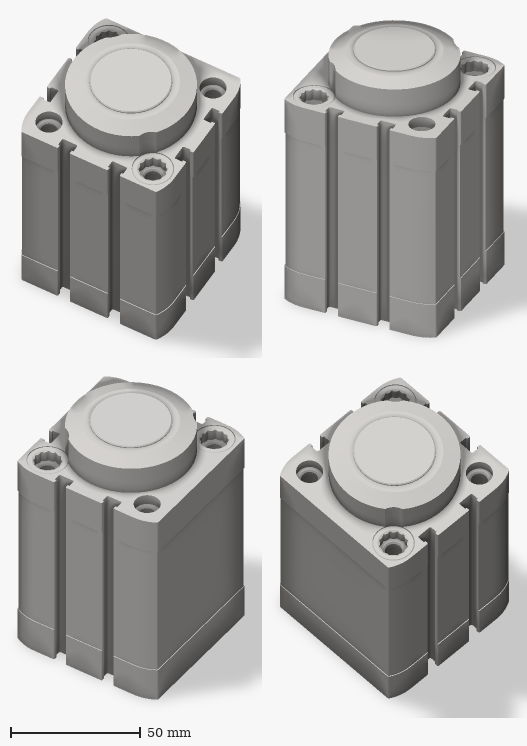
import cadquery as cq
import math

BODY_SIDE = 65.5
HALF_SIDE = BODY_SIDE / 2
BODY_HEIGHT = 90.6
CAP_HEIGHT = 15.0
BARREL_INSET = 0.3
CORNER_ARC_RADIUS = 18.0
CORNER_BLEND_RADIUS = 0.8

HOLE_OFFSET = 23.2
HOLE_DIAMETER = 6.7
COUNTERSINK_DIAMETER = 8.0

COLLAR_DIAMETER = 51.1
COLLAR_TOP_DIAMETER = 38.0
COLLAR_BEVEL_START = 102.9
COLLAR_TOP = 105.2

ROD_DIAMETER = 32.0
ROD_TOP = 106.0
ROD_CHAMFER = 0.4
ROD_SOCKET_FLOOR = BODY_HEIGHT - CAP_HEIGHT

SLOT_OFFSET = 11.1
SLOT_MOUTH_WIDTH = 5.3
SLOT_INNER_WIDTH = 6.8
SLOT_LIP = 1.6
SLOT_DEPTH = 5.0
SLOT_CORNER_RADIUS = 0.5
SLOT_MOUTH_RADIUS = 0.4
SLOT_FACES = (-90, 0, 180)

PLAIN_CORNERS = ((-1, -1), (1, 1))
COUNTERBORE_DIAMETER = 10.5
COUNTERBORE_DEPTH = 4.5

SCREW_CORNERS = ((-1, 1), (1, -1))
HEAD_DIAMETER = 16.4
HEAD_CHAMFER = 0.4
SOCKET_MOUTH_DIAMETER = 12.3
SOCKET_ACROSS_FLATS = 10.0
HEX_HALF_STEP = 30
SOCKET_ACROSS_POINTS = SOCKET_ACROSS_FLATS / math.cos(math.radians(HEX_HALF_STEP))
SOCKET_BORE_DIAMETER = 10.5
SOCKET_DEPTH = 5.0
SOCKET_MOUTH_SLOPE = 30


def corner_place(corner):
    """Centre of the mounting hole in the corner given by the signs of X and Y."""
    return corner[0] * HOLE_OFFSET, corner[1] * HOLE_OFFSET


def frustum(bottom_diameter, top_diameter, bottom, top):
    """Upright cone frustum on the Z axis between two heights."""
    height = top - bottom
    return cq.Workplane(obj=cq.Solid.makeCone(
        bottom_diameter / 2, top_diameter / 2, height, pnt=cq.Vector(0, 0, bottom)))


def cylinder(diameter, bottom, top):
    """Upright cylinder on the Z axis between two heights."""
    return cq.Workplane().workplane(offset=bottom).circle(diameter / 2).extrude(top - bottom)


def body_block(bottom, height, inset=0.0):
    """Square block whose four corners curve in from the X faces to the Y faces.

    A positive inset moves every side face inwards by that amount.
    """
    arc_start = HOLE_OFFSET
    full_angle = math.asin((HALF_SIDE - arc_start) / CORNER_ARC_RADIUS)
    arc_centre = HALF_SIDE - CORNER_ARC_RADIUS

    def arc_point(angle):
        x = arc_centre + CORNER_ARC_RADIUS * math.cos(angle)
        y = arc_start + CORNER_ARC_RADIUS * math.sin(angle)
        return x, y

    mid_x, mid_y = arc_point(full_angle / 2)
    end_x, end_y = arc_point(full_angle)
    block = (
        cq.Workplane()
        .moveTo(HALF_SIDE, -arc_start)
        .lineTo(HALF_SIDE, arc_start)
        .threePointArc((mid_x, mid_y), (end_x, end_y))
        .lineTo(-end_x, end_y)
        .threePointArc((-mid_x, mid_y), (-HALF_SIDE, arc_start))
        .lineTo(-HALF_SIDE, -arc_start)
        .threePointArc((-mid_x, -mid_y), (-end_x, -end_y))
        .lineTo(end_x, -end_y)
        .threePointArc((mid_x, -mid_y), (HALF_SIDE, -arc_start))
        .close()
        .extrude(height)
        .edges("|Z and (>Y or <Y)")
        .fillet(CORNER_BLEND_RADIUS)
    )
    if inset:
        outline = block.faces("<Z").wires().val().offset2D(-inset)[0]
        block = cq.Workplane(obj=cq.Solid.extrudeLinear(outline, [], cq.Vector(0, 0, height)))
    return block.translate((0, 0, bottom))


def collar():
    """Round collar with a bevelled rim, notched beside the two screw heads."""
    shape = cylinder(COLLAR_DIAMETER, BODY_HEIGHT, COLLAR_BEVEL_START)
    shape = shape.union(frustum(COLLAR_DIAMETER, COLLAR_TOP_DIAMETER, COLLAR_BEVEL_START, COLLAR_TOP))
    for corner in SCREW_CORNERS:
        x, y = corner_place(corner)
        shape = shape.cut(cylinder(HEAD_DIAMETER, BODY_HEIGHT, COLLAR_TOP).translate((x, y, 0)))
    return shape


def slot_cutter():
    """T-slot running the full height of the +X face, centred on Y = 0, with a rounded mouth."""
    floor_x = HALF_SIDE - SLOT_DEPTH
    lip_x = HALF_SIDE - SLOT_LIP
    round_x = HALF_SIDE - SLOT_MOUTH_RADIUS
    half_mouth = SLOT_MOUTH_WIDTH / 2
    half_inner = SLOT_INNER_WIDTH / 2
    half_flare = half_mouth + SLOT_MOUTH_RADIUS
    arc_x = round_x + SLOT_MOUTH_RADIUS * math.cos(math.pi / 4)
    arc_y = half_flare - SLOT_MOUTH_RADIUS * math.sin(math.pi / 4)
    return (
        cq.Workplane()
        .moveTo(HALF_SIDE, -half_flare)
        .threePointArc((arc_x, -arc_y), (round_x, -half_mouth))
        .lineTo(lip_x, -half_mouth)
        .lineTo(lip_x, -half_inner)
        .lineTo(floor_x, -half_inner)
        .lineTo(floor_x, half_inner)
        .lineTo(lip_x, half_inner)
        .lineTo(lip_x, half_mouth)
        .lineTo(round_x, half_mouth)
        .threePointArc((arc_x, arc_y), (HALF_SIDE, half_flare))
        .close()
        .extrude(BODY_HEIGHT)
        .edges("|Z and <X")
        .fillet(SLOT_CORNER_RADIUS)
    )


def countersunk_hole(floor):
    """Through hole with a 45 degree countersink starting at the given height."""
    sink_depth = (COUNTERSINK_DIAMETER - HOLE_DIAMETER) / 2
    hole = cylinder(HOLE_DIAMETER, 0, floor)
    return hole.union(frustum(HOLE_DIAMETER, COUNTERSINK_DIAMETER, floor - sink_depth, floor))


def plain_corner_cutter():
    """Counterbore and countersunk through hole."""
    floor = BODY_HEIGHT - COUNTERBORE_DEPTH
    bore = cylinder(COUNTERBORE_DIAMETER, floor, BODY_HEIGHT)
    return bore.union(countersunk_hole(floor))


def screw_corner_cutter():
    """Groove round the screw head, twelve-point socket and countersunk through hole."""
    groove_floor = BODY_HEIGHT - HEAD_CHAMFER
    groove = cylinder(HEAD_DIAMETER, groove_floor, BODY_HEIGHT).cut(
        frustum(HEAD_DIAMETER, HEAD_DIAMETER - 2 * HEAD_CHAMFER, groove_floor, BODY_HEIGHT))

    floor = BODY_HEIGHT - SOCKET_DEPTH
    hexagon = cq.Workplane().workplane(offset=floor).polygon(6, SOCKET_ACROSS_POINTS).extrude(SOCKET_DEPTH)
    socket = hexagon.union(hexagon.rotate((0, 0, 0), (0, 0, 1), HEX_HALF_STEP))
    socket = socket.union(cylinder(SOCKET_BORE_DIAMETER, floor, BODY_HEIGHT))
    mouth_width = (SOCKET_MOUTH_DIAMETER - SOCKET_ACROSS_FLATS) / 2
    mouth_depth = mouth_width * math.tan(math.radians(SOCKET_MOUTH_SLOPE))
    mouth = frustum(SOCKET_ACROSS_FLATS, SOCKET_MOUTH_DIAMETER, BODY_HEIGHT - mouth_depth, BODY_HEIGHT)
    hole = countersunk_hole(floor)
    return groove.union(socket).union(mouth).union(hole)


def make_rod():
    """Piston rod with a chamfered tip."""
    return cylinder(ROD_DIAMETER, ROD_SOCKET_FLOOR, ROD_TOP).faces(">Z").chamfer(ROD_CHAMFER)


def make_housing():
    """Caps, barrel and collar in one piece, with the slots, holes and rod socket cut in."""
    upper_cap_bottom = BODY_HEIGHT - CAP_HEIGHT
    shape = body_block(0, CAP_HEIGHT)
    shape = shape.union(body_block(CAP_HEIGHT, upper_cap_bottom - CAP_HEIGHT, BARREL_INSET))
    shape = shape.union(body_block(upper_cap_bottom, CAP_HEIGHT))
    shape = shape.union(collar())

    for turn in SLOT_FACES:
        for side in (-1, 1):
            slot = slot_cutter().translate((0, side * SLOT_OFFSET, 0))
            shape = shape.cut(slot.rotate((0, 0, 0), (0, 0, 1), turn))

    for corner in PLAIN_CORNERS:
        x, y = corner_place(corner)
        shape = shape.cut(plain_corner_cutter().translate((x, y, 0)))
    for corner in SCREW_CORNERS:
        x, y = corner_place(corner)
        shape = shape.cut(screw_corner_cutter().translate((x, y, 0)))

    return shape.cut(cylinder(ROD_DIAMETER, ROD_SOCKET_FLOOR, COLLAR_TOP))


housing = make_housing()
rod = make_rod()
result = cq.Compound.makeCompound([housing.val(), rod.val()])